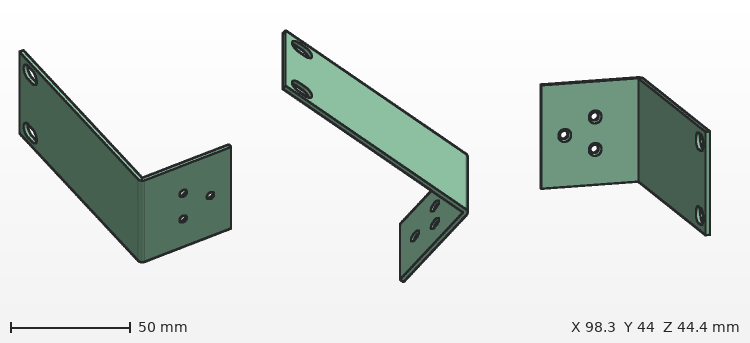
import cadquery as cq

length = 98.3
depth = 44.0
height = 44.4
thickness = 2.0
bend_radius = thickness

slot_length = 10.5
slot_height = 7.1
slot_center_x = 8.7
slot_spacing = 31.8

hole_diameter = 3.5
sink_diameter = 5.5
sink_angle = 90.0
single_hole_y = depth - 10.0
hole_row_gap = 13.3
pair_spacing = 14.0


def make_bracket():
    """Two plates meeting at a corner that is rounded on the outside only."""
    long_plate = cq.Workplane("XY").box(length, thickness, height, centered=(False, False, True))
    flange = (
        cq.Workplane("XY")
        .box(thickness, depth, height, centered=(False, False, True))
        .translate((length - thickness, 0, 0))
    )
    return long_plate.union(flange).edges("|Z and >X and <Y").fillet(bend_radius)


def cut_slots(body):
    """Cut the slots through the long plate, symmetric about mid height."""
    cutter = (
        cq.Workplane("XZ")
        .pushPoints([(slot_center_x, side * slot_spacing / 2) for side in (-1, 1)])
        .slot2D(slot_length, slot_height)
        .extrude(-thickness)
    )
    return body.cut(cutter)


def cut_screw_holes(body):
    """Drill the flange, with the countersinks opening on its inner face."""
    pair_y = single_hole_y - hole_row_gap
    positions = [
        (single_hole_y, 0),
        (pair_y, pair_spacing / 2),
        (pair_y, -pair_spacing / 2),
    ]
    inner_face = cq.Plane(origin=(length - thickness, 0, 0), xDir=(0, -1, 0), normal=(-1, 0, 0))
    return (
        body.copyWorkplane(cq.Workplane(inner_face))
        .pushPoints([(-y, z) for y, z in positions])
        .cskHole(hole_diameter, sink_diameter, sink_angle, depth=thickness)
    )


result = cut_screw_holes(cut_slots(make_bracket()))